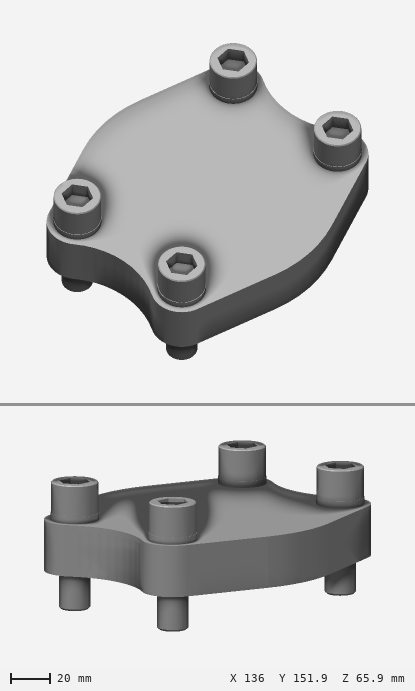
import cadquery as cq
import math

plate_thickness = 26.6
plate_length = 151.9
plate_width = 136.0
waist_length = 130.6
bolt_spacing_x = 69.9
bolt_spacing_y = 120.8

bolt_x = bolt_spacing_x / 2
bolt_y = bolt_spacing_y / 2
side_radius = plate_width / 2
lobe_radius = (plate_length - bolt_spacing_y) / 2

ring_inner_diameter = 98.0
ring_outer_diameter = 105.1
ring_protrusion = 0.8

washer_diameter = 24.5
washer_height = 3.5
head_diameter = 24.0
head_height = 16.1
head_chamfer = 0.53
socket_across_corners = 16.3
socket_depth = 8.0
shank_diameter = 16.0
shank_protrusion = 19.7
shank_chamfer = 1.0


def make_plate():
    """Plate with four corner lobes, bulging sides and concave ends, all tangent."""
    bolt_distance = math.hypot(bolt_x, bolt_y)
    bolt_angle = math.atan2(bolt_y, bolt_x)
    tangent_angle = bolt_angle - math.acos((side_radius - lobe_radius) / bolt_distance)
    side_x = side_radius * math.cos(tangent_angle)
    side_y = side_radius * math.sin(tangent_angle)
    lobe_x = bolt_x + lobe_radius * math.cos(tangent_angle)
    lobe_y = bolt_y + lobe_radius * math.sin(tangent_angle)

    waist_y = waist_length / 2
    waist_rise = waist_y - bolt_y
    waist_radius = (bolt_x**2 + waist_rise**2 - lobe_radius**2) / (2 * (lobe_radius - waist_rise))
    waist_share = lobe_radius / (lobe_radius + waist_radius)
    waist_end_x = bolt_x * (1 - waist_share)
    waist_end_y = bolt_y + (waist_rise + waist_radius) * waist_share
    lobe_top_y = plate_length / 2

    return (
        cq.Workplane("XY")
        .workplane(offset=-plate_thickness)
        .moveTo(side_x, -side_y)
        .threePointArc((side_radius, 0), (side_x, side_y))
        .lineTo(lobe_x, lobe_y)
        .threePointArc((bolt_x, lobe_top_y), (waist_end_x, waist_end_y))
        .threePointArc((0, waist_y), (-waist_end_x, waist_end_y))
        .threePointArc((-bolt_x, lobe_top_y), (-lobe_x, lobe_y))
        .lineTo(-side_x, side_y)
        .threePointArc((-side_radius, 0), (-side_x, -side_y))
        .lineTo(-lobe_x, -lobe_y)
        .threePointArc((-bolt_x, -lobe_top_y), (-waist_end_x, -waist_end_y))
        .threePointArc((0, -waist_y), (waist_end_x, -waist_end_y))
        .threePointArc((bolt_x, -lobe_top_y), (lobe_x, -lobe_y))
        .close()
        .extrude(plate_thickness)
    )


def make_seal_ring():
    """Round-section ring that stands slightly proud of the plate underside."""
    section_radius = (ring_outer_diameter - ring_inner_diameter) / 4
    centre_radius = (ring_outer_diameter + ring_inner_diameter) / 4
    centre_z = -plate_thickness - ring_protrusion + section_radius
    return (
        cq.Workplane("XZ")
        .center(centre_radius, centre_z)
        .circle(section_radius)
        .revolve(360, (-centre_radius, 0), (-centre_radius, 1))
    )


def make_screw():
    """Washer, chamfered head with hexagon socket, and shank, on the Z axis."""
    washer = cq.Workplane("XY").circle(washer_diameter / 2).extrude(washer_height)
    head = (
        cq.Workplane("XY")
        .workplane(offset=washer_height)
        .circle(head_diameter / 2)
        .extrude(head_height)
        .faces(">Z")
        .chamfer(head_chamfer)
    )
    socket = (
        cq.Workplane("XY")
        .workplane(offset=washer_height + head_height - socket_depth)
        .polygon(6, socket_across_corners)
        .extrude(socket_depth)
        .rotate((0, 0, 0), (0, 0, 1), 90)
    )
    shank = (
        cq.Workplane("XY")
        .circle(shank_diameter / 2)
        .extrude(-(plate_thickness + shank_protrusion))
        .faces("<Z")
        .chamfer(shank_chamfer)
    )
    return washer.union(head).cut(socket).union(shank)


result = make_plate().union(make_seal_ring())
screw = make_screw()
for x in (-bolt_x, bolt_x):
    for y in (-bolt_y, bolt_y):
        result = result.union(screw.translate((x, y, 0)))